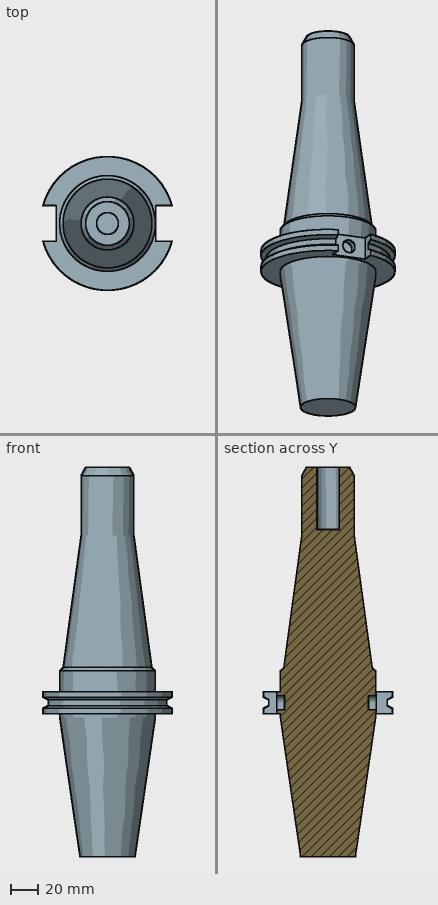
import cadquery as cq
import math

total_length = 285.8
gauge_height = 102.3
flange_bottom = 105.0
flange_top = 121.2
collar_height = 139.0
nose_bottom = 235.5

collar_radius = 35.1
shank_end_radius = collar_radius - gauge_height * 7 / 24 / 2
collar_chamfer = 2.5

neck_base_radius = 32.5
nose_radius = 19.5
nose_end_radius = 16.0
nose_chamfer_height = 6.3
bore_radius = 8.0
bore_depth = 45.7

flange_radius = 49.1
groove_floor_radius = 45.5
groove_floor_width = 4.3
groove_flank_angle = 27.0
groove_middle = (flange_bottom + flange_top) / 2

notch_width = 26.0
notch_floor_left = 37.7
notch_floor_right = 35.5
notch_hole_radius = 5.0
notch_hole_depth = 5.7


def make_body():
    """Revolve the half section of the holder around Z."""
    half_floor = groove_floor_width / 2
    flank_rise = (flange_radius - groove_floor_radius) * math.tan(math.radians(groove_flank_angle))
    half_mouth = half_floor + flank_rise
    section = [
        (0, 0),
        (shank_end_radius, 0),
        (collar_radius, gauge_height),
        (collar_radius, flange_bottom),
        (flange_radius, flange_bottom),
        (flange_radius, groove_middle - half_mouth),
        (groove_floor_radius, groove_middle - half_floor),
        (groove_floor_radius, groove_middle + half_floor),
        (flange_radius, groove_middle + half_mouth),
        (flange_radius, flange_top),
        (collar_radius, flange_top),
        (collar_radius, collar_height - collar_chamfer),
        (neck_base_radius, collar_height),
        (nose_radius, nose_bottom),
        (nose_radius, total_length - nose_chamfer_height),
        (nose_end_radius, total_length),
        (0, total_length),
    ]
    return cq.Workplane("XZ").polyline(section).close().revolve(360, (0, 0, 0), (0, 1, 0))


def make_notch(side, floor_distance):
    """Drive notch with a blind hole in its floor; side is -1 or +1 along X."""
    flange_height = flange_top - flange_bottom
    slot = (
        cq.Workplane("XY")
        .box(flange_radius, notch_width, flange_height)
        .translate((side * (floor_distance + flange_radius / 2), 0, groove_middle))
    )
    hole = cq.Workplane(
        cq.Plane(
            origin=(side * floor_distance, 0, groove_middle),
            xDir=(0, 1, 0),
            normal=(-side, 0, 0),
        )
    ).circle(notch_hole_radius).extrude(notch_hole_depth)
    return slot.union(hole)


def make_bore():
    """Blind tool bore, open at the nose."""
    return (
        cq.Workplane("XY")
        .workplane(offset=total_length - bore_depth)
        .circle(bore_radius)
        .extrude(bore_depth)
    )


result = make_body().cut(make_bore())
for side, floor_distance in ((-1, notch_floor_left), (1, notch_floor_right)):
    result = result.cut(make_notch(side, floor_distance))